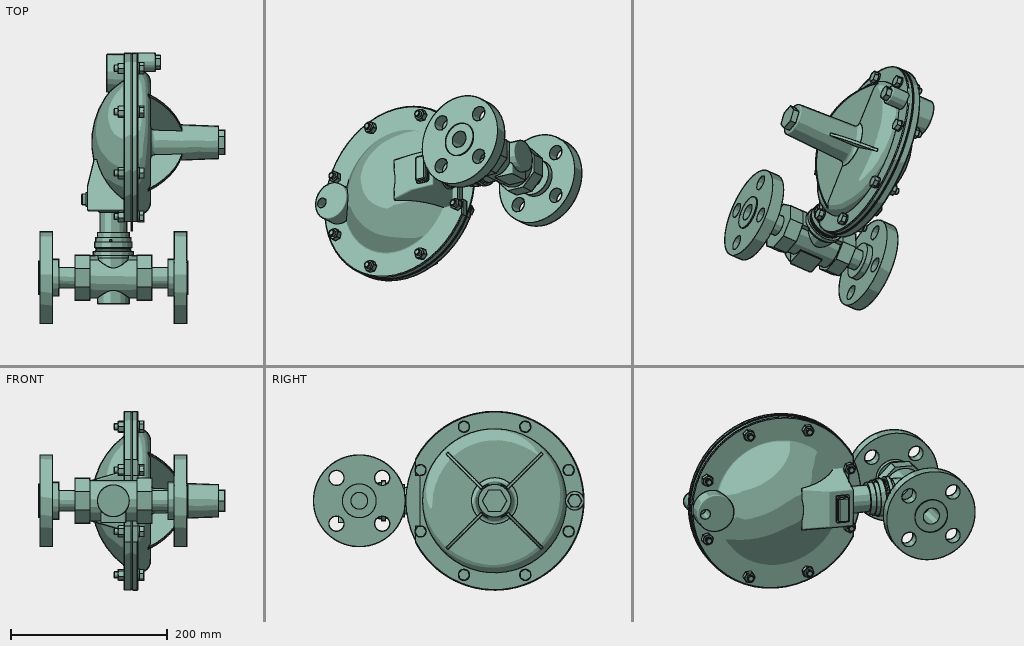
import cadquery as cq
import math


OVERALL_X = 238.15
OVERALL_Y = 345.85
OVERALL_Z = 228.6
HEX = 6

FLANGE_D = 117.475
FLANGE_INNER = 77.5
FLANGE_OUTER = 94.0
RAISED_FACE_X = 95.6
RAISED_FACE_R = 21.6
HUB_R = 23.7
HUB_X = 69.5
PIPE_R = 13.35
BORE_R = 10.7
BOLT_CIRCLE_D = 82.55
BOLT_HOLE_D = 19.05
NUT_INNER = 29.9
NUT_OUTER = 49.2
NUT_FLATS = 57.6
NUT_SIDES = 8
BODY_R = 26.0
SHELF_Y = 28.2
SHELF_HALF_H = 12.7
CAP_R = 20.3
CAP_Y = -33.5
CAP_EDGE = 1.0
FOOT_W = 32.0
FOOT_Y = -26.6
FOOT_Z = -27.8
FOOT_CORNER = 2.8

NECK_R = 17.2
NECK_BASE_FLARE = 1.8
SEAT_R = 22.8
COLLARS = (
    (23.2, 25.0, 28.4),
    (25.8, 28.4, 33.5),
    (22.6, 33.5, 38.4),
    (24.1, 38.4, 45.8),
    (22.7, 45.8, 51.2),
    (20.6, 51.2, 58.0),
)
GROOVE_DEPTH = 0.8
GROOVE_Y0 = 35.4
GROOVE_Y1 = 37.4
PIN_HOLE_R = 1.4
PIN_HOLE_X = -3.3
PIN_HOLE_Y = 47.6

CASING_R = OVERALL_Z / 2
CASING_Y = OVERALL_Y - FLANGE_D / 2 - CASING_R
REAR_X0 = 13.3
REAR_X1 = 22.8
DISC_X1 = 24.4
DISC_R = 113.3
FRONT_X1 = 31.4
RIM_CHAMFER = 1.2
FRONT_RIM_CHAMFER = (1.5, 0.8)
DOME_BASE_FILLET = 1.6
FACE_TOLERANCE = 0.1
DOME_X = -27.7
DOME_BASE_R = 82.3
BOWL_X = 47.9
BOWL_CROWN = 0.4
BOWL_R = 92.0
BOWL_CORNER = 15.4
RIM_FLAT = 101.3
NOTCH_DEPTH = 95.2
NOTCH_HALF_W = 32.0

STUD_COUNT = 8
STUD_CIRCLE_R = 102.4
STUD_R = 4.0
STUD_END_X = 0.8
STUD_CHAMFER = 0.8
STUD_NUT_X = 5.9
STUD_HEX_FLATS = 12.7
STUD_NUT_CHAMFER = 1.0
STUD_HEAD_X = 38.9
STUD_WASHER_X = 33.2
STUD_WASHER_R = 7.2
STUD_HEX_TURN = 30.0

TOWER_BASE_R = 24.0
TOWER_TIP_R = 20.9
TOWER_X = 134.6
TOWER_CAP_L = 3.4
TOWER_EDGE = 1.2
TOWER_FLARE = 5.5
TOWER_PLUG_X = OVERALL_X - RAISED_FACE_X
TOWER_PLUG_FLATS = 27.2
RIB_T = 3.5
RIB_COUNT = 4
RIB_ARC = ((44.5, 86.0), (76.0, 52.0), (88.3, 20.5))
RIB_ROOT_X = 40.0

REAR_VENT_X = -8.6
REAR_VENT_R = 24.4
REAR_VENT_OFFSET = 88.5
REAR_VENT_EDGE = 1.5
REAR_VENT_HOLE_R = 6.5
FRONT_VENT_R = CASING_R - STUD_CIRCLE_R
FRONT_VENT_X = 53.6
FRONT_VENT_EDGE = 1.5
FRONT_PLUG_X = 60.5
FRONT_PLUG_FLATS = 15.6
FRONT_PLUG_CHAMFER = 1.0

BOX_X = -33.2
BOX_NEAR = 87.6
BOX_SLOPE_START = 56.0
BOX_SLOPE_END = 21.5
BOX_SLOPE_X = -24.6
BOX_FRONT_HALF = 24.5
BOX_BASE_HALF = 38.0
BOX_EDGE = 2.4
KEY_OFFSET = 72.8
KEY_X = -40.8
KEY_L = 32.5
KEY_W = 14.2
KEY_FOOT_X = -35.0
KEY_FOOT_MARGIN = 1.8
KEY_CORNER = 2.5
KEY_TOP_EDGE = 1.3


def cyl_x(radius, x0, x1, y=0.0, z=0.0):
    """Cylinder along X."""
    return cq.Workplane("YZ", origin=(x0, 0, 0)).center(y, z).circle(radius).extrude(x1 - x0)


def cyl_y(radius, y0, y1):
    """Cylinder along Y through the valve centre."""
    return cq.Workplane("XZ", origin=(0, y1, 0)).circle(radius).extrude(y1 - y0)


def prism_x(sides, flats, x0, x1, y=0.0, z=0.0, turn=0.0):
    """Regular prism along X, measured across flats; turn=0 puts a corner on +Y."""
    corners_d = flats / math.cos(math.pi / sides)
    prism = cq.Workplane("YZ").polygon(sides, corners_d).extrude(x1 - x0)
    return prism.rotate((0, 0, 0), (1, 0, 0), turn).translate((x0, y, z))


def hex_cone(flats, x0, x1, chamfer, y=0.0, z=0.0):
    """Round blank that trims the corners of a hexagon at its x0 end."""
    corner_r = flats / math.sqrt(3)
    blank = cyl_x(corner_r, x0, x1, y, z)
    return blank.faces("<X").chamfer(chamfer)


def box(x0, x1, y0, y1, z0, z1):
    return cq.Workplane("XY").box(x1 - x0, y1 - y0, z1 - z0, centered=False).translate((x0, y0, z0))


def make_valve_end():
    """Union nut, pipe and bolted flange on the -X side."""
    end = prism_x(NUT_SIDES, NUT_FLATS, -NUT_OUTER, -NUT_INNER, turn=180 / NUT_SIDES)
    end = end.union(cyl_x(PIPE_R, -HUB_X, -NUT_OUTER))
    end = end.union(cyl_x(HUB_R, -FLANGE_INNER, -HUB_X))
    flange = cyl_x(FLANGE_D / 2, -FLANGE_OUTER, -FLANGE_INNER)
    pitch = BOLT_CIRCLE_D / 2 * math.sqrt(0.5)
    for y in (-pitch, pitch):
        for z in (-pitch, pitch):
            flange = flange.cut(cyl_x(BOLT_HOLE_D / 2, -FLANGE_OUTER, -FLANGE_INNER, y, z))
    end = end.union(flange).union(cyl_x(RAISED_FACE_R, -RAISED_FACE_X, -FLANGE_OUTER))
    return end.cut(cyl_x(BORE_R, -RAISED_FACE_X, -NUT_OUTER))


def make_valve():
    body = cyl_x(BODY_R, -NUT_INNER, NUT_INNER)
    body = body.union(box(-NUT_INNER, NUT_INNER, 0, SHELF_Y, -SHELF_HALF_H, SHELF_HALF_H))
    foot = box(-FOOT_W / 2, FOOT_W / 2, FOOT_Y, 0, FOOT_Z, 0)
    body = body.union(foot.edges("|Z and <Y").fillet(FOOT_CORNER))
    body = body.union(cyl_y(CAP_R, CAP_Y, 0).faces("<Y").edges().fillet(CAP_EDGE))
    end = make_valve_end()
    return body.union(end).union(end.mirror("YZ"))


def make_neck():
    neck = cyl_y(NECK_R, 0, CASING_Y - BOX_NEAR)
    base_y = CASING_Y - BOX_NEAR
    flare = (
        cq.Workplane("XY")
        .moveTo(0, base_y - NECK_BASE_FLARE)
        .lineTo(NECK_R, base_y - NECK_BASE_FLARE)
        .radiusArc((NECK_R + NECK_BASE_FLARE, base_y), -NECK_BASE_FLARE)
        .lineTo(0, base_y)
        .close()
        .revolve(360, (0, 0, 0), (0, 1, 0))
    )
    neck = neck.union(flare).union(cyl_y(SEAT_R, 0, COLLARS[0][1]))
    for radius, y0, y1 in COLLARS:
        neck = neck.union(cyl_y(radius, y0, y1))
    grooved_r = COLLARS[2][0]
    groove = cyl_y(grooved_r, GROOVE_Y0, GROOVE_Y1)
    groove = groove.cut(cyl_y(grooved_r - GROOVE_DEPTH, GROOVE_Y0, GROOVE_Y1))
    neck = neck.cut(groove)
    pin_plane = cq.Workplane("XY", origin=(PIN_HOLE_X, PIN_HOLE_Y, NECK_R))
    pin_hole = pin_plane.circle(PIN_HOLE_R).extrude(NECK_R)
    return neck.cut(pin_hole)



def trim_rim(disc):
    """Cut the flat and the deeper notch that clear the valve neck."""
    disc = disc.cut(box(REAR_X0, FRONT_X1, -CASING_R, -RIM_FLAT, -CASING_R, CASING_R))
    return disc.cut(box(REAR_X0, FRONT_X1, -CASING_R, -NOTCH_DEPTH, -NOTCH_HALF_W, NOTCH_HALF_W))


def make_rear_case():
    """Rear flange with the dome and the outlet box blended onto it."""
    flange = trim_rim(cyl_x(CASING_R, REAR_X0, REAR_X1))
    flange = flange.faces("<X").chamfer(RIM_CHAMFER)
    case = flange.union(make_dome()).union(make_outlet_box())
    reach = DOME_BASE_R + DOME_BASE_FILLET
    base_zone = cq.selectors.BoxSelector(
        (REAR_X0 - FACE_TOLERANCE, -BOX_NEAR - DOME_BASE_FILLET, -reach),
        (REAR_X0 + FACE_TOLERANCE, reach, reach),
        boundingbox=True,
    )
    return case.edges(base_zone).fillet(DOME_BASE_FILLET)


def make_front_flange():
    flange = cyl_x(CASING_R, DISC_X1, FRONT_X1)
    flange = flange.faces(">X").edges().chamfer(*FRONT_RIM_CHAMFER)
    return trim_rim(flange).union(cyl_x(DISC_R, REAR_X1, DISC_X1))


def make_dome():
    height = REAR_X0 - DOME_X
    radius = (DOME_BASE_R ** 2 + height ** 2) / (2 * height)
    ball = cq.Workplane("XY").sphere(radius).translate((DOME_X + radius, 0, 0))
    return ball.intersect(cyl_x(radius, DOME_X, REAR_X1))


def make_bowl_and_tower():
    corner_x = BOWL_X - BOWL_CROWN
    bowl = (
        cq.Workplane("XY")
        .moveTo(FRONT_X1, 0)
        .lineTo(FRONT_X1, BOWL_R)
        .lineTo(corner_x - BOWL_CORNER, BOWL_R)
        .radiusArc((corner_x, BOWL_R - BOWL_CORNER), BOWL_CORNER)
        .lineTo(BOWL_X, 0)
        .close()
        .revolve(360, (0, 0, 0), (1, 0, 0))
    )
    flare_r = TOWER_BASE_R + TOWER_FLARE
    tower = (
        cq.Workplane("XY")
        .moveTo(FRONT_X1, 0)
        .lineTo(FRONT_X1, flare_r)
        .lineTo(BOWL_X, flare_r)
        .radiusArc((BOWL_X + TOWER_FLARE, TOWER_BASE_R), -TOWER_FLARE)
        .lineTo(TOWER_X - TOWER_CAP_L, TOWER_TIP_R)
        .lineTo(TOWER_X, TOWER_TIP_R)
        .lineTo(TOWER_X, 0)
        .close()
        .revolve(360, (0, 0, 0), (1, 0, 0))
        .faces(">X").edges().fillet(TOWER_EDGE)
    )
    return bowl.union(tower).union(prism_x(HEX, TOWER_PLUG_FLATS, TOWER_X, TOWER_PLUG_X))


def make_ribs():
    start, middle, end = RIB_ARC
    rib = (
        cq.Workplane("XY", origin=(0, 0, -RIB_T / 2))
        .moveTo(RIB_ROOT_X, 0)
        .lineTo(RIB_ROOT_X, start[1])
        .lineTo(*start)
        .threePointArc(middle, end)
        .lineTo(end[0], 0)
        .close()
        .extrude(RIB_T)
    )
    step = 360 / RIB_COUNT
    ribs = cq.Workplane("XY")
    for i in range(RIB_COUNT):
        ribs = ribs.union(rib.rotate((0, 0, 0), (1, 0, 0), step * (i + 0.5)))
    return ribs


def make_studs():
    step = 360 / STUD_COUNT
    studs = cq.Workplane("XY")
    for i in range(STUD_COUNT):
        angle = math.radians(step * (i + 0.5))
        y = STUD_CIRCLE_R * math.cos(angle)
        z = STUD_CIRCLE_R * math.sin(angle)
        shank = cyl_x(STUD_R, STUD_END_X, STUD_HEAD_X, y, z).faces("<X").chamfer(STUD_CHAMFER)
        nut = prism_x(HEX, STUD_HEX_FLATS, STUD_NUT_X, REAR_X0, y, z, STUD_HEX_TURN + step * i)
        nut = nut.intersect(hex_cone(STUD_HEX_FLATS, STUD_NUT_X, REAR_X0, STUD_NUT_CHAMFER, y, z))
        head = prism_x(HEX, STUD_HEX_FLATS, STUD_WASHER_X, STUD_HEAD_X, y, z, step * i)
        washer = cyl_x(STUD_WASHER_R, FRONT_X1, STUD_WASHER_X, y, z)
        studs = studs.union(shank).union(nut).union(head).union(washer)
    return studs


def make_vents():
    rear = cyl_x(REAR_VENT_R, REAR_VENT_X, REAR_X0, REAR_VENT_OFFSET)
    rear = rear.faces("<X").edges().fillet(REAR_VENT_EDGE)
    front = cyl_x(FRONT_VENT_R, DISC_X1, FRONT_VENT_X, STUD_CIRCLE_R)
    front = front.faces(">X").edges().fillet(FRONT_VENT_EDGE)
    plug = prism_x(HEX, FRONT_PLUG_FLATS, FRONT_VENT_X, FRONT_PLUG_X)
    trim = hex_cone(FRONT_PLUG_FLATS, -FRONT_PLUG_X, -FRONT_VENT_X, FRONT_PLUG_CHAMFER).mirror("YZ")
    plug = plug.intersect(trim).translate((0, STUD_CIRCLE_R, 0))
    return rear.union(front).union(plug)


def make_outlet_box():
    """Box with flared sides, sloped back onto the dome, with a key on its outer face."""
    side = (
        cq.Workplane("XY", origin=(0, 0, -BOX_BASE_HALF))
        .polyline([
            (REAR_X0, -BOX_NEAR),
            (BOX_X, -BOX_NEAR),
            (BOX_X, -BOX_SLOPE_START),
            (BOX_SLOPE_X, -BOX_SLOPE_END),
            (REAR_X0, -BOX_SLOPE_END),
        ])
        .close()
        .extrude(2 * BOX_BASE_HALF)
    )
    flare = (
        cq.Workplane("XZ")
        .polyline([
            (REAR_X0, -BOX_BASE_HALF),
            (REAR_X0, BOX_BASE_HALF),
            (BOX_X, BOX_FRONT_HALF),
            (BOX_X, -BOX_FRONT_HALF),
        ])
        .close()
        .extrude(BOX_NEAR)
    )
    body = side.intersect(flare)
    corners = body.edges("<Y").edges("not >X")
    for z_side in (-1, 1):
        front_corners = cq.selectors.BoxSelector(
            (BOX_X - BOX_EDGE, -BOX_NEAR, z_side * (BOX_FRONT_HALF - BOX_EDGE)),
            (BOX_SLOPE_X, 0, z_side * BOX_BASE_HALF),
        )
        corners = corners.add(body.edges(front_corners))
    body = corners.fillet(BOX_EDGE)

    def key_block(x0, x1, grow):
        half_w = KEY_W / 2 + grow
        half_l = KEY_L / 2 + grow
        block = box(x0, x1, -KEY_OFFSET - half_w, -KEY_OFFSET + half_w, -half_l, half_l)
        return block.edges("|X").fillet(KEY_CORNER)

    key = key_block(KEY_X, BOX_X, 0).faces("<X").edges().chamfer(KEY_TOP_EDGE)
    key = key.union(key_block(KEY_FOOT_X, BOX_X, KEY_FOOT_MARGIN))
    return body.union(key)


def make_actuator():
    actuator = make_rear_case().union(make_front_flange())
    for feature in (make_bowl_and_tower(), make_ribs(), make_studs(), make_vents()):
        actuator = actuator.union(feature)
    vent_hole = cyl_x(REAR_VENT_HOLE_R, REAR_VENT_X, REAR_X0, STUD_CIRCLE_R)
    return actuator.cut(vent_hole).translate((0, CASING_Y, 0))


result = make_valve().union(make_neck()).union(make_actuator())